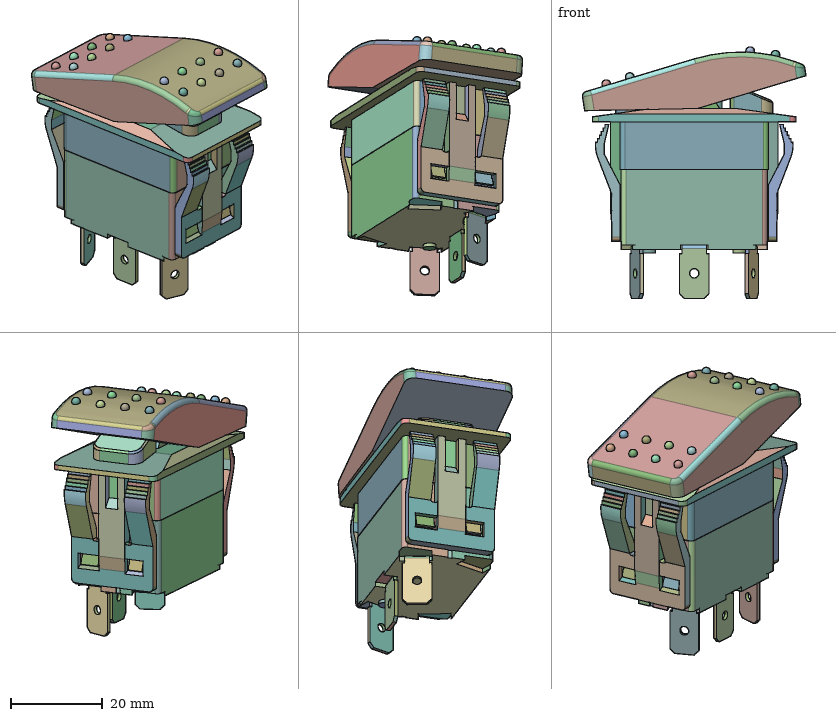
import cadquery as cq
import math

ROCKER_TILT = 9.0
ROCKER_BREAK = 7.8
ROCKER_LENGTH = 49.0
ROCKER_WIDTH = 24.85
ROCKER_PIVOT_X = 0.75
ROCKER_EDGE_RADIUS = 1.1
ROCKER_CORNER_RADIUS = 2.1
CREST_START_X = 0.95
CREST_START_Z = 10.85
CREST_RADIUS = 34.9
DOT_DIAMETER = 1.9
DOT_RISE = 0.24
DOT_COLUMNS = (13.4, 18.75)
DOT_PATTERN_X = -0.15
DOT_PITCH = 6.0
DOTS_PER_COLUMN = 4

FLANGE_LENGTH = 44.55
FLANGE_WIDTH = 25.15
FLANGE_CORNER_DIAMETER = 2.8
FLANGE_BOTTOM_Z = 38.6
FLANGE_END_Z = 39.7
FLANGE_SIDE_Z = 40.25
CROWN_Z = 41.5
CROWN_FLAT_LENGTH = 18.25
CROWN_SIDE_RUN = 2.55

COLLAR_OUTER_X = 17.15
COLLAR_INNER_X = 7.85
COLLAR_WIDTH = 11.9
COLLAR_OUTER_Z = 43.1
COLLAR_SLOPE = 23.0
COLLAR_OUTER_RADIUS = 2.4
COLLAR_INNER_RADIUS = 0.75
COLLAR_TOP_CHAMFER = 0.4
POST_LENGTH = 12.2
POST_WIDTH = 7.7
POST_TOP_Z = 45.1
POST_CORNER_RADIUS = 1.1
LUG_THICKNESS = 1.1
LUG_TOP_HALF = 3.35
LUG_BOTTOM_HALF = 5.55

UPPER_LENGTH = 32.35
UPPER_WIDTH = 20.8
LOWER_LENGTH = 31.9
LOWER_WIDTH = 21.0
CASE_SPLIT_Z = 28.15
CASE_BOTTOM_Z = 10.65
CASE_CORNER_RADIUS = 1.05
END_GROOVE_WIDTH = 0.95
END_GROOVE_DEPTH = 0.3
END_GROOVE_Y = 0.4

PLATE_X = 18.05
PLATE_BOTTOM_Z = 12.5
CLIP_INNER_X = UPPER_LENGTH / 2
PAD_WIDTH = 18.7
PLATE_WIDTH = 19.9
PLATE_CORNER_RADIUS = 0.95
SLOT_BOTTOM_Z = 22.45
SLOT_RADIUS = 0.5
ARM_WIDTH = 5.2
ARM_ROOT_OUTER_Z = 22.8
ARM_ROOT_INNER_Z = 24.75
ARM_BULGE_X = 21.55
ARM_BULGE_LOW_X = 21.1
ARM_BULGE_LOW_Z = 30.85
ARM_BULGE_MIDDLE_Z = 32.65
ARM_BULGE_HIGH_Z = 34.15
ARM_INNER_X = 19.65
ARM_INNER_LOW_Z = 31.5
ARM_INNER_HIGH_Z = 33.8
ARM_TIP_INNER_X = 18.65
ARM_TIP_Z = 38.05
SERRATIONS = 5
SERRATION_STEP_X = 0.405
COLUMN_X = 18.3
COLUMN_WIDTH = 6.4
COLUMN_BOTTOM_Z = 16.35
COLUMN_TAPER_Z = 19.25
POCKET_WIDTH = 2.95
POCKET_BOTTOM_Z = 30.25
POCKET_RAMP_Z = 32.2
POCKET_DEPTH = 1.65
WINDOW_BOTTOM_Z = 15.85
WINDOW_DEPTH = 1.2
WINDOW_FLOOR_RISE = 0.55
WINDOW_TOP_Z = COLUMN_TAPER_Z
WINDOW_OUTER_Y = (7.55, -8.35)
LATCH_GAP = 0.5
LATCH_BOTTOM_Z = 16.7
LATCH_DEPTH = 0.75

TERMINAL_WIDTH = 6.5
TERMINAL_THICKNESS = 0.8
TERMINAL_SHOULDER_Z = 9.8
TERMINAL_CHAMFER = 1.05
TERMINAL_HOLE = 2.0
TERMINAL_HOLE_Z = 5.5
NECK_WIDTH = 5.45
NECK_BEND_RADIUS = 0.75
NOTCH_TOP_Z = 11.65
NOTCH_WIDTH = 5.95
SIDE_NOTCH_WIDTH = 7.15
SIDE_NOTCH_SHIFT = 0.3
SIDE_TERMINAL_X = 12.15
SIDE_TERMINAL_Y = -5.95
SIDE_TERMINAL_TURN = 70.0
MIDDLE_TERMINAL_Y = -7.35
BOSS_X = 9.85
BOSS_DIAMETER = 2.8
BOSS_HEIGHT = 0.75


def block(length, width, bottom, top):
    """A box centred on the Z axis between two heights."""
    return cq.Workplane("XY", origin=(0, 0, bottom)).rect(length, width).extrude(top - bottom)


def box_between(x_pair, y_pair, z_pair):
    """A box from one corner to the opposite one."""
    corner = (min(x_pair), min(y_pair), min(z_pair))
    sizes = [abs(pair[1] - pair[0]) for pair in (x_pair, y_pair, z_pair)]
    return cq.Workplane("XY").box(*sizes, centered=False).translate(corner)


def side_profile(points, width, y_centre=0.0):
    """An XZ outline extruded along Y, centred on y_centre."""
    plane = cq.Workplane("XZ", origin=(0, y_centre, 0))
    return plane.polyline(points).close().extrude(width / 2, both=True)


def mirrored_in_x(shape):
    return shape.mirror("YZ")


def flange():
    half_length = FLANGE_LENGTH / 2
    half_flat = CROWN_FLAT_LENGTH / 2
    half_width = FLANGE_WIDTH / 2
    plate = side_profile(
        [
            (-half_length, FLANGE_BOTTOM_Z),
            (half_length, FLANGE_BOTTOM_Z),
            (half_length, FLANGE_END_Z),
            (half_flat, CROWN_Z),
            (-half_flat, CROWN_Z),
            (-half_length, FLANGE_END_Z),
        ],
        FLANGE_WIDTH,
    )
    plate = plate.edges("|Z").fillet(FLANGE_CORNER_DIAMETER / 2)
    hip = (
        cq.Workplane("YZ")
        .polyline(
            [
                (-half_width, FLANGE_BOTTOM_Z),
                (half_width, FLANGE_BOTTOM_Z),
                (half_width, FLANGE_SIDE_Z),
                (half_width - CROWN_SIDE_RUN, CROWN_Z),
                (CROWN_SIDE_RUN - half_width, CROWN_Z),
                (-half_width, FLANGE_SIDE_Z),
            ]
        )
        .close()
        .extrude(half_length, both=True)
    )
    return plate.intersect(hip)


def collar():
    """The +X pivot support, with a top that falls outward."""
    rise = (COLLAR_OUTER_X - COLLAR_INNER_X) * math.tan(math.radians(COLLAR_SLOPE))
    support = side_profile(
        [
            (COLLAR_INNER_X, FLANGE_BOTTOM_Z),
            (COLLAR_OUTER_X, FLANGE_BOTTOM_Z),
            (COLLAR_OUTER_X, COLLAR_OUTER_Z),
            (COLLAR_INNER_X, COLLAR_OUTER_Z + rise),
        ],
        COLLAR_WIDTH,
    )
    support = support.edges("|Z and >X").fillet(COLLAR_OUTER_RADIUS)
    support = support.edges("|Z and <X").fillet(COLLAR_INNER_RADIUS)
    return support.faces(">Z").chamfer(COLLAR_TOP_CHAMFER)


def pivot_post():
    post = block(POST_LENGTH, POST_WIDTH, FLANGE_BOTTOM_Z, POST_TOP_Z)
    return post.edges("|Z").fillet(POST_CORNER_RADIUS)


def case():
    upper = block(UPPER_LENGTH, UPPER_WIDTH, CASE_SPLIT_Z, FLANGE_BOTTOM_Z)
    lower = block(LOWER_LENGTH, LOWER_WIDTH, CASE_BOTTOM_Z, CASE_SPLIT_Z)
    upper = upper.edges("|Z").fillet(CASE_CORNER_RADIUS)
    lower = lower.edges("|Z").fillet(CASE_CORNER_RADIUS)
    end_x = LOWER_LENGTH / 2
    for end in (-1, 1):
        groove = box_between(
            (end * end_x, end * (end_x - END_GROOVE_DEPTH)),
            (END_GROOVE_Y - END_GROOVE_WIDTH / 2, END_GROOVE_Y + END_GROOVE_WIDTH / 2),
            (CASE_BOTTOM_Z, PLATE_BOTTOM_Z),
        )
        lower = lower.cut(groove)
    return upper.union(lower)


def clip_plate():
    """The flat lower part of the +X clip, with its two slot bottoms and latch windows."""
    inner_x = CLIP_INNER_X
    plate = box_between(
        (inner_x, PLATE_X),
        (-PLATE_WIDTH / 2, PLATE_WIDTH / 2),
        (PLATE_BOTTOM_Z, ARM_ROOT_OUTER_Z),
    )
    plate = plate.edges("|X and <Z").fillet(PLATE_CORNER_RADIUS)
    slot_outer_y = PLATE_WIDTH / 2 - ARM_WIDTH
    slot_inner_y = COLUMN_WIDTH / 2
    for side in (-1, 1):
        slot = box_between(
            (inner_x, PLATE_X),
            (side * slot_inner_y, side * slot_outer_y),
            (SLOT_BOTTOM_Z, CASE_SPLIT_Z),
        )
        plate = plate.cut(slot.edges("|X and <Z").fillet(SLOT_RADIUS))
    back_x = PLATE_X - WINDOW_DEPTH
    for outer_y in WINDOW_OUTER_Y:
        inner_y = math.copysign(COLUMN_WIDTH / 2, outer_y)
        window_width = abs(outer_y - inner_y)
        middle_y = (inner_y + outer_y) / 2
        window = side_profile(
            [
                (back_x, WINDOW_BOTTOM_Z + WINDOW_FLOOR_RISE),
                (PLATE_X, WINDOW_BOTTOM_Z),
                (PLATE_X, WINDOW_TOP_Z),
                (back_x, WINDOW_TOP_Z),
            ],
            window_width,
            middle_y,
        )
        latch = side_profile(
            [(back_x, LATCH_BOTTOM_Z), (back_x + LATCH_DEPTH, LATCH_BOTTOM_Z), (back_x, WINDOW_TOP_Z)],
            window_width - 2 * LATCH_GAP,
            middle_y,
        )
        plate = plate.cut(window).union(latch)
    return plate


def clip_pad():
    """The spacer that carries the +X clip plate off the lower block."""
    return box_between(
        (LOWER_LENGTH / 2, CLIP_INNER_X), (-PAD_WIDTH / 2, PAD_WIDTH / 2), (PLATE_BOTTOM_Z, SLOT_BOTTOM_Z)
    )


def clip_arm(y_centre):
    """A sprung arm of the +X clip: bent outward, with a serrated grip above the rounded bulge."""
    step_z = (ARM_TIP_Z - ARM_BULGE_HIGH_Z) / SERRATIONS
    arm = (
        cq.Workplane("XZ", origin=(0, y_centre, 0))
        .moveTo(CLIP_INNER_X, SLOT_BOTTOM_Z)
        .lineTo(PLATE_X, SLOT_BOTTOM_Z)
        .lineTo(PLATE_X, ARM_ROOT_OUTER_Z)
        .lineTo(ARM_BULGE_LOW_X, ARM_BULGE_LOW_Z)
        .threePointArc((ARM_BULGE_X, ARM_BULGE_MIDDLE_Z), (ARM_BULGE_X, ARM_BULGE_HIGH_Z))
    )
    for _ in range(SERRATIONS):
        arm = arm.hLine(-SERRATION_STEP_X).vLine(step_z)
    return (
        arm.lineTo(ARM_TIP_INNER_X, ARM_TIP_Z)
        .lineTo(ARM_INNER_X, ARM_INNER_HIGH_Z)
        .lineTo(ARM_INNER_X, ARM_INNER_LOW_Z)
        .lineTo(CLIP_INNER_X, ARM_ROOT_INNER_Z)
        .close()
        .extrude(ARM_WIDTH / 2, both=True)
    )


def guide_column():
    """The +X guide column, tapered at its foot and pocketed below the flange."""
    inner_x = LOWER_LENGTH / 2
    column = side_profile(
        [
            (inner_x, COLUMN_BOTTOM_Z),
            (PLATE_X, COLUMN_BOTTOM_Z),
            (COLUMN_X, COLUMN_TAPER_Z),
            (COLUMN_X, FLANGE_BOTTOM_Z),
            (inner_x, FLANGE_BOTTOM_Z),
        ],
        COLUMN_WIDTH,
    )
    pocket = side_profile(
        [
            (COLUMN_X, POCKET_BOTTOM_Z),
            (COLUMN_X, FLANGE_BOTTOM_Z),
            (COLUMN_X - POCKET_DEPTH, FLANGE_BOTTOM_Z),
            (COLUMN_X - POCKET_DEPTH, POCKET_RAMP_Z),
        ],
        POCKET_WIDTH,
    )
    return column.cut(pocket)


def end_fittings():
    arm_y = (PLATE_WIDTH - ARM_WIDTH) / 2
    fittings = clip_pad().union(clip_plate()).union(guide_column())
    return fittings.union(clip_arm(arm_y)).union(clip_arm(-arm_y))


def terminal():
    """A blade terminal that faces -Y, with its inner face on the plane Y = 0."""
    blade = box_between(
        (-TERMINAL_WIDTH / 2, TERMINAL_WIDTH / 2), (-TERMINAL_THICKNESS, 0), (0, TERMINAL_SHOULDER_Z)
    )
    blade = blade.edges("|Y and <Z").chamfer(TERMINAL_CHAMFER)
    hole = (
        cq.Workplane("XZ", origin=(0, 0, TERMINAL_HOLE_Z))
        .circle(TERMINAL_HOLE / 2)
        .extrude(TERMINAL_THICKNESS)
    )
    neck = box_between(
        (-NECK_WIDTH / 2, NECK_WIDTH / 2), (-TERMINAL_THICKNESS, 0), (TERMINAL_SHOULDER_Z, NOTCH_TOP_Z)
    )
    neck = neck.edges(">Z and <Y").fillet(NECK_BEND_RADIUS)
    return blade.cut(hole).union(neck)


def notch(width, shift=0.0):
    """The recess around a terminal's neck, open toward -Y from the plane Y = 0."""
    return box_between(
        (-width / 2 - shift, width / 2 - shift), (-LOWER_WIDTH / 2, 0), (CASE_BOTTOM_Z, NOTCH_TOP_Z)
    )


def placed(shape, x, y, turn):
    return shape.rotate((0, 0, 0), (0, 0, 1), turn).translate((x, y, 0))


def build_housing():
    body = case().union(flange()).union(pivot_post())
    for fitting in (collar(), end_fittings()):
        body = body.union(fitting).union(mirrored_in_x(fitting))

    side_notch = notch(SIDE_NOTCH_WIDTH, SIDE_NOTCH_SHIFT)
    side_notch = placed(side_notch, SIDE_TERMINAL_X, SIDE_TERMINAL_Y, SIDE_TERMINAL_TURN)
    for cutter in (side_notch, mirrored_in_x(side_notch)):
        body = body.cut(cutter).cut(cutter.mirror("XZ"))
    body = body.cut(placed(notch(NOTCH_WIDTH), 0, MIDDLE_TERMINAL_Y, 0))

    side_terminal = placed(terminal(), SIDE_TERMINAL_X, SIDE_TERMINAL_Y, SIDE_TERMINAL_TURN)
    body = body.union(side_terminal).union(mirrored_in_x(side_terminal))
    body = body.union(placed(terminal(), 0, MIDDLE_TERMINAL_Y, 0))

    bosses = (
        cq.Workplane("XY", origin=(0, 0, CASE_BOTTOM_Z - BOSS_HEIGHT))
        .pushPoints([(-BOSS_X, SIDE_TERMINAL_Y), (BOSS_X, SIDE_TERMINAL_Y)])
        .circle(BOSS_DIAMETER / 2)
        .extrude(BOSS_HEIGHT)
    )
    return body.union(bosses)


BREAK_SLOPE = math.tan(math.radians(ROCKER_BREAK))
CREST_CENTRE_X = CREST_START_X + CREST_RADIUS * math.sin(math.radians(ROCKER_BREAK))
CREST_CENTRE_Z = CREST_START_Z - CREST_RADIUS * math.cos(math.radians(ROCKER_BREAK))


def rocker_top(x):
    """Height of the rocker's top in its level frame: a straight ramp, then the crest arc."""
    if x < CREST_START_X:
        return CREST_START_Z - (CREST_START_X - x) * BREAK_SLOPE
    return CREST_CENTRE_Z + math.sqrt(CREST_RADIUS**2 - (x - CREST_CENTRE_X) ** 2)


def rocker_shell():
    half = ROCKER_LENGTH / 2
    end_z = half * BREAK_SLOPE
    shell = (
        cq.Workplane("XZ")
        .moveTo(0, 0)
        .lineTo(half, end_z)
        .lineTo(half, rocker_top(half))
        .threePointArc((CREST_CENTRE_X, CREST_CENTRE_Z + CREST_RADIUS), (CREST_START_X, CREST_START_Z))
        .lineTo(-half, rocker_top(-half))
        .lineTo(-half, end_z)
        .close()
        .extrude(ROCKER_WIDTH / 2, both=True)
    )
    shell = shell.edges("|Z").fillet(ROCKER_CORNER_RADIUS)
    return shell.faces("<X").edges(">Z").fillet(ROCKER_EDGE_RADIUS)


def rocker_dots():
    columns = [DOT_PATTERN_X + end * offset for end in (-1, 1) for offset in DOT_COLUMNS]
    first_y = -DOT_PITCH * (DOTS_PER_COLUMN - 1) / 2
    centres = [
        (x, first_y + row * DOT_PITCH, rocker_top(x) + DOT_RISE)
        for x in columns
        for row in range(DOTS_PER_COLUMN)
    ]
    return cq.Workplane("XY").pushPoints(centres).sphere(DOT_DIAMETER / 2)


def pivot_lugs():
    """Tapered cheeks that straddle the pivot post and end on the crown."""
    outline = [
        (-LUG_BOTTOM_HALF, CROWN_Z),
        (LUG_BOTTOM_HALF, CROWN_Z),
        (LUG_TOP_HALF, POST_TOP_Z),
        (-LUG_TOP_HALF, POST_TOP_Z),
    ]
    lug_y = (POST_WIDTH + LUG_THICKNESS) / 2
    return [side_profile(outline, LUG_THICKNESS, side * lug_y) for side in (-1, 1)]


def build_rocker(housing):
    rocker = rocker_shell().union(rocker_dots())
    rocker = rocker.rotate((0, 0, 0), (0, 1, 0), -ROCKER_TILT).translate((ROCKER_PIVOT_X, 0, CROWN_Z))
    for lug in pivot_lugs():
        rocker = rocker.union(lug)
    return rocker.cut(housing)


housing = build_housing()
rocker = build_rocker(housing)
result = cq.Compound.makeCompound([housing.solids().val(), rocker.solids().val()])